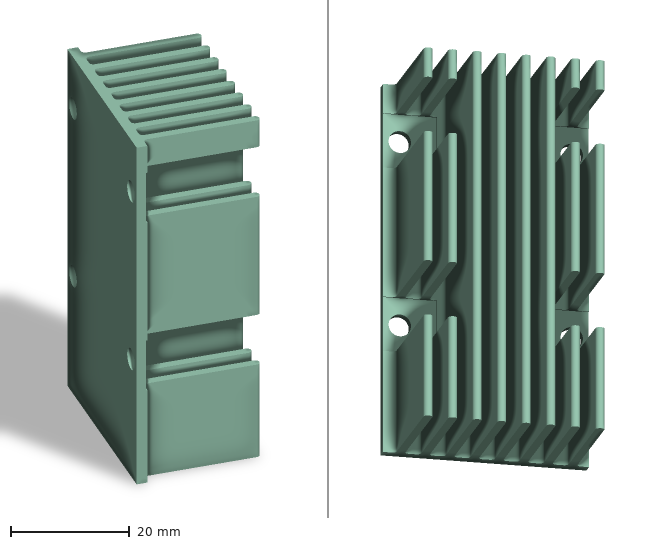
import cadquery as cq

WIDTH = 35.56
DEPTH = 22.86
HEIGHT = 65.11

BASE_THICKNESS = 1.905
FIN_COUNT = 8
FIN_THICKNESS = 1.524
ROOT_RADIUS = 0.762

HOLE_DIAMETER = 3.86
HOLE_SPACING_X = 29.72
HOLE_SPACING_Z = 32.44
UPPER_HOLE_TO_TOP = 9.98

NOTCH_HEIGHT = 9.6
NOTCH_DEPTH_INTO_BASE = 0.254
FINS_CUT_PER_SIDE = 2

FIN_PITCH = HOLE_SPACING_X / (FIN_COUNT - 1)
FIN_CENTERS = [-HOLE_SPACING_X / 2 + i * FIN_PITCH for i in range(FIN_COUNT)]
UPPER_HOLE_Z = HEIGHT - UPPER_HOLE_TO_TOP
HOLE_HEIGHTS = [UPPER_HOLE_Z, UPPER_HOLE_Z - HOLE_SPACING_Z]
NOTCH_FLOOR_Y = BASE_THICKNESS - NOTCH_DEPTH_INTO_BASE
NOTCH_END_X = (FIN_CENTERS[FINS_CUT_PER_SIDE - 1] + FIN_CENTERS[FINS_CUT_PER_SIDE]) / 2
NOTCH_WIDTH = WIDTH / 2 + NOTCH_END_X


def finned_profile():
    """Closed XY outline: flat base with round-tipped, root-filleted fins."""
    half_fin = FIN_THICKNESS / 2
    root_y = BASE_THICKNESS + ROOT_RADIUS
    tip_y = DEPTH - half_fin
    outline = cq.Workplane("XY").moveTo(WIDTH / 2, 0).lineTo(-WIDTH / 2, 0)
    outline = outline.lineTo(-WIDTH / 2, BASE_THICKNESS)
    for x in FIN_CENTERS:
        left = x - half_fin
        right = x + half_fin
        outline = (
            outline.lineTo(left - ROOT_RADIUS, BASE_THICKNESS)
            .radiusArc((left, root_y), -ROOT_RADIUS)
            .lineTo(left, tip_y)
            .threePointArc((x, DEPTH), (right, tip_y))
            .lineTo(right, root_y)
            .radiusArc((right + ROOT_RADIUS, BASE_THICKNESS), -ROOT_RADIUS)
        )
    return outline.lineTo(WIDTH / 2, BASE_THICKNESS).close()


def notch(side, z):
    """Block that clears the outer fins on one side (-1 or +1) at height z."""
    depth = DEPTH - NOTCH_FLOOR_Y
    center_x = side * (WIDTH - NOTCH_WIDTH) / 2
    return cq.Workplane("XY").box(NOTCH_WIDTH, depth, NOTCH_HEIGHT).translate(
        (center_x, NOTCH_FLOOR_Y + depth / 2, z)
    )


def mounting_hole(side, z):
    """Cylinder through the base plate along Y."""
    return (
        cq.Workplane("XZ", origin=(side * HOLE_SPACING_X / 2, 0, z))
        .circle(HOLE_DIAMETER / 2)
        .extrude(-BASE_THICKNESS)
    )


result = finned_profile().extrude(HEIGHT)
for side in (-1, 1):
    for z in HOLE_HEIGHTS:
        result = result.cut(notch(side, z)).cut(mounting_hole(side, z))